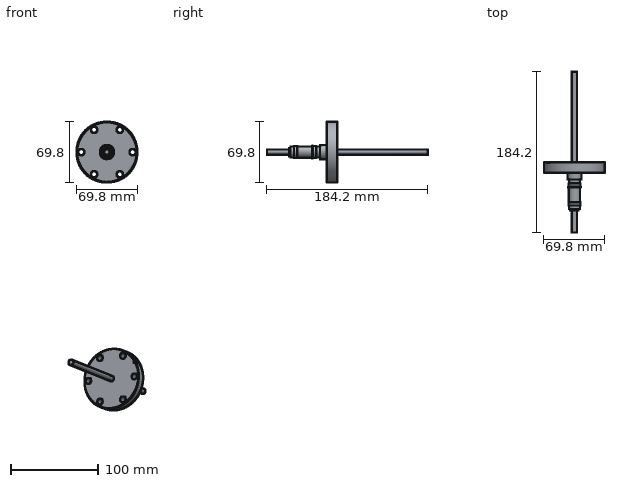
import cadquery as cq

length = 184.2
rod_diameter = 6.5

flange_diameter = 69.8
flange_front = -24.1
flange_thickness = 12.7
front_chamfer = 1.0
back_chamfer = 0.5
flange_back = flange_front + flange_thickness

bolt_count = 6
bolt_circle_diameter = 58.7
bolt_hole_diameter = 7.0

notch_angle = 150.0
notch_width = 1.5
notch_depth = 1.1
notch_reach = 2.2

hub_diameter = 16.4
hub_length = 7.2
neck_diameter = 12.9
neck_length = 4.2
collar_diameter = 14.0
collar_length = 3.5
collar_taper_length = 0.5
ridge_diameter = 15.1
ridge_flank_length = 0.5
barrel_diameter = 13.0
barrel_length = 16.2
nut_length = 4.2
cap_diameter = 9.8
cap_length = 1.7


def cylinder(diameter, front, back):
    """Cylinder along Y between two Y positions."""
    disc = cq.Workplane("XZ", origin=(0, back, 0)).circle(diameter / 2)
    return disc.extrude(back - front)


def make_flange():
    flange = cylinder(flange_diameter, flange_front, flange_back)
    flange = flange.faces("<Y").chamfer(front_chamfer)
    flange = flange.faces(">Y").chamfer(back_chamfer)
    bolt_holes = (
        cq.Workplane("XZ", origin=(0, flange_back, 0))
        .polarArray(bolt_circle_diameter / 2, 0, 360, bolt_count)
        .circle(bolt_hole_diameter / 2)
        .extrude(flange_thickness)
    )
    return flange.cut(bolt_holes)


def make_leak_notch():
    notch = (
        cq.Workplane("XY")
        .box(2 * notch_reach, 2 * notch_depth, notch_width)
        .translate((flange_diameter / 2, flange_back, 0))
    )
    return notch.rotate((0, 0, 0), (0, 1, 0), -notch_angle)


def make_connector():
    sections = [
        (hub_diameter, hub_diameter, hub_length),
        (neck_diameter, neck_diameter, neck_length),
        (neck_diameter, collar_diameter, collar_taper_length),
        (collar_diameter, collar_diameter, collar_length),
        (collar_diameter, ridge_diameter, ridge_flank_length),
        (ridge_diameter, barrel_diameter, ridge_flank_length),
        (barrel_diameter, barrel_diameter, barrel_length),
        (barrel_diameter, collar_diameter, collar_taper_length),
        (collar_diameter, collar_diameter, collar_length),
        (neck_diameter, neck_diameter, nut_length),
        (cap_diameter, cap_diameter, cap_length),
    ]
    outline = cq.Workplane("XY").moveTo(0, flange_front)
    y = flange_front
    at_radius = 0
    for back_diameter, front_diameter, section_length in sections:
        if back_diameter / 2 != at_radius:
            outline = outline.lineTo(back_diameter / 2, y)
        y -= section_length
        at_radius = front_diameter / 2
        outline = outline.lineTo(at_radius, y)
    return outline.lineTo(0, y).close().revolve(360, (0, 0, 0), (0, 1, 0))


rod = cylinder(rod_diameter, -length / 2, length / 2)
result = make_flange().cut(make_leak_notch()).union(make_connector()).union(rod)